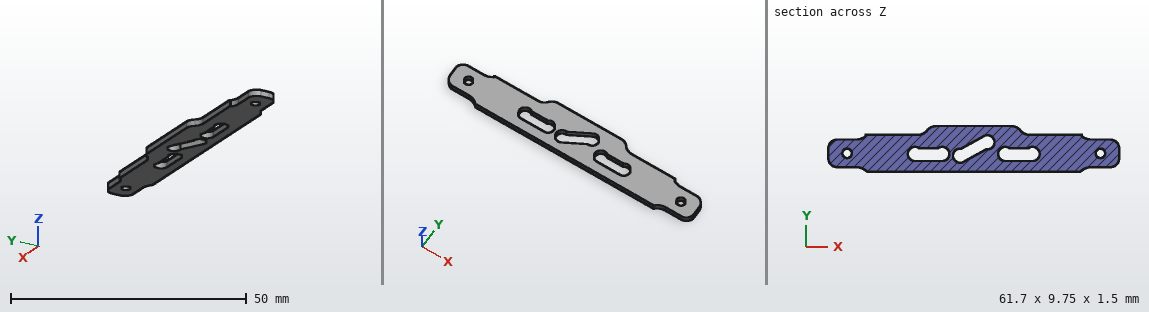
import cadquery as cq
import math

length = 61.7
thickness = 1.5
body_half_width = 3.95
crown_top = 5.8

tab_half_width = 2.95
tab_corner_radius = 2.0
hole_diameter = 2.0
hole_inset = 4.0

shoulder_start = 24.85
shoulder_end = 22.9
shoulder_radius = 3.2
lower_body_half_length = 22.5

crown_half_length = 7.95
crown_outer_radius = 2.45
crown_root_radius = 2.45

slot_end_diameter = 2.95
slot_centre_x = 9.55
slot_centre_y = -0.1
slot_pitch = 5.8
slot_waist_step = 0.3
diagonal_centre_y = 0.9
diagonal_rise = 2.85

shoulder_run = shoulder_start - shoulder_end
shoulder_angle = math.asin(shoulder_run / shoulder_radius)


def shoulder_y(angle):
    return tab_half_width + shoulder_radius * (1 - math.cos(angle))


shoulder_end_y = shoulder_y(shoulder_angle)
shoulder_mid_x = shoulder_start - shoulder_radius * math.sin(shoulder_angle / 2)
shoulder_mid_y = shoulder_y(shoulder_angle / 2)

crown_rise = crown_top - body_half_width
crown_angle = math.acos(1 - crown_rise / (crown_outer_radius + crown_root_radius))
crown_join_x = crown_half_length + crown_outer_radius * math.sin(crown_angle)
crown_join_y = crown_top - crown_outer_radius * (1 - math.cos(crown_angle))
crown_root_x = crown_join_x + crown_root_radius * math.sin(crown_angle)


def half_plate():
    """Half of the plate on the +X side."""
    outline = (
        cq.Workplane("XY")
        .moveTo(0, -body_half_width)
        .lineTo(lower_body_half_length, -body_half_width)
        .lineTo(shoulder_end, -shoulder_end_y)
        .threePointArc((shoulder_mid_x, -shoulder_mid_y), (shoulder_start, -tab_half_width))
        .lineTo(length / 2, -tab_half_width)
        .lineTo(length / 2, tab_half_width)
        .lineTo(shoulder_start, tab_half_width)
        .threePointArc((shoulder_mid_x, shoulder_mid_y), (shoulder_end, shoulder_end_y))
        .lineTo(shoulder_end, body_half_width)
        .lineTo(crown_root_x, body_half_width)
        .tangentArcPoint((crown_join_x, crown_join_y), relative=False)
        .tangentArcPoint((crown_half_length, crown_top), relative=False)
        .lineTo(0, crown_top)
        .close()
    )
    return outline.extrude(thickness).edges("|Z and >X").fillet(tab_corner_radius)


def waisted_slot(centre_x, centre_y, pitch, tilt=0, channel_shift=0, channel_tilt=0):
    """Two round ends joined by a narrower channel, which may be shifted or turned."""
    frame = cq.Workplane("XY", origin=(centre_x, centre_y, 0)).transformed(rotate=(0, 0, tilt))
    ends = (
        frame.pushPoints([(-pitch / 2, 0), (pitch / 2, 0)])
        .circle(slot_end_diameter / 2)
        .extrude(thickness)
    )
    channel = (
        frame.transformed(offset=(0, channel_shift, 0), rotate=(0, 0, channel_tilt))
        .rect(pitch, slot_end_diameter - slot_waist_step)
        .extrude(thickness)
    )
    return ends.union(channel)


def tab_holes():
    hole_x = length / 2 - hole_inset
    return (
        cq.Workplane("XY")
        .pushPoints([(-hole_x, 0), (hole_x, 0)])
        .circle(hole_diameter / 2)
        .extrude(thickness)
    )


half = half_plate()
plate = half.union(half.mirror("YZ")).clean()

for side in (-1, 1):
    level_slot = waisted_slot(
        side * slot_centre_x, slot_centre_y, slot_pitch, channel_shift=-slot_waist_step / 2
    )
    plate = plate.cut(level_slot)

diagonal_pitch = math.hypot(slot_pitch, diagonal_rise)
diagonal_slot = waisted_slot(
    0,
    diagonal_centre_y,
    diagonal_pitch,
    tilt=math.degrees(math.atan2(diagonal_rise, slot_pitch)),
    channel_tilt=math.degrees(math.atan2(slot_waist_step, diagonal_pitch)),
)

result = plate.cut(diagonal_slot).cut(tab_holes())